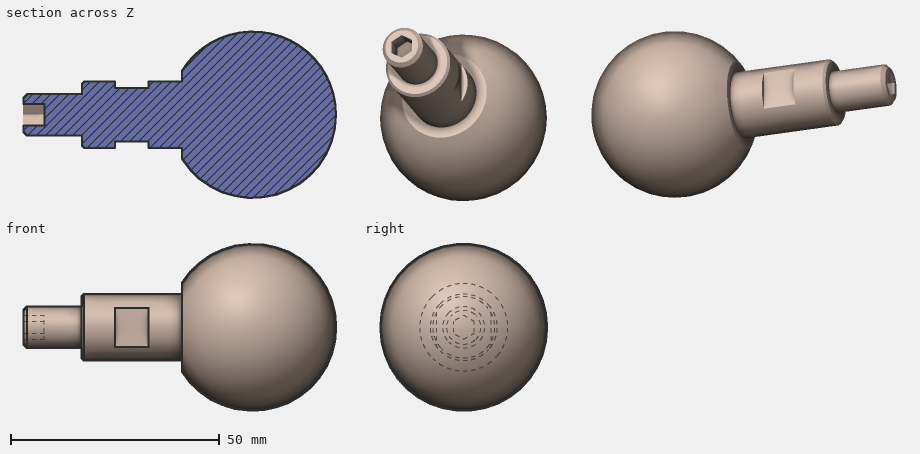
import cadquery as cq
import math


stud_diameter = 10.0
stud_length = 14.0
stud_chamfer = 0.92

socket_sides = 6
socket_across_flats = 5.0
socket_depth = 5.0

sleeve_diameter = 16.0
sleeve_length = 24.0
sleeve_chamfer = 0.6
flat_across = 13.0
flat_length = 8.0
flat_start = 8.0

ball_diameter = 40.0
overall_length = 75.0

stud_radius = stud_diameter / 2
sleeve_radius = sleeve_diameter / 2
ball_radius = ball_diameter / 2
ball_tip_x = overall_length - stud_length
ball_center_x = ball_tip_x - ball_radius
ball_face_radius = math.sqrt(ball_radius**2 - (ball_center_x - sleeve_length) ** 2)


def make_turned_body():
    """Revolve the half profile of stud, sleeve and ball about the X axis."""
    profile = (
        cq.Workplane("XY")
        .moveTo(-stud_length, 0)
        .lineTo(-stud_length, stud_radius - stud_chamfer)
        .lineTo(-stud_length + stud_chamfer, stud_radius)
        .lineTo(0, stud_radius)
        .lineTo(0, sleeve_radius - sleeve_chamfer)
        .lineTo(sleeve_chamfer, sleeve_radius)
        .lineTo(sleeve_length, sleeve_radius)
        .lineTo(sleeve_length, ball_face_radius)
        .threePointArc((ball_center_x, ball_radius), (ball_tip_x, 0))
        .close()
    )
    return profile.revolve(360, (0, 0, 0), (1, 0, 0))


def make_flat_cutter(side):
    """Block that cuts one wrench flat; side is +1 for +Y and -1 for -Y."""
    cut_depth = (sleeve_diameter - flat_across) / 2
    center_x = flat_start + flat_length / 2
    center_y = side * (flat_across + cut_depth) / 2
    block = cq.Workplane("XY").box(flat_length, cut_depth, sleeve_diameter)
    return block.translate((center_x, center_y, 0))


def make_socket_cutter():
    """Hexagonal prism with two corners on the Z axis, entering along +X."""
    across_corners = socket_across_flats / math.cos(math.pi / socket_sides)
    corner_angle = 90
    return (
        cq.Workplane("YZ", origin=(-stud_length, 0, 0))
        .transformed(rotate=(0, 0, corner_angle))
        .polygon(socket_sides, across_corners)
        .extrude(socket_depth)
    )


result = make_turned_body().cut(make_socket_cutter())
for side in (1, -1):
    result = result.cut(make_flat_cutter(side))